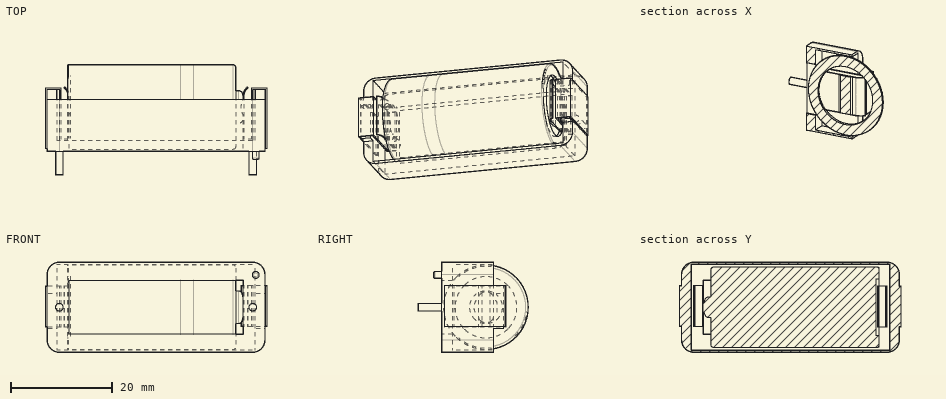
import cadquery as cq
import math


frame_length = 42.85
frame_height = 17.75
frame_depth = 10.2
frame_corner_radius = 2.5
window_length = 34.25
window_height = 10.58
floor_thickness = 2.1
end_wall = 1.95
side_wall = 0.5
post_height = 1.95
post_bottom = -4.15
post_top = 2.75

pin_diameter = 1.5
pin_length = 4.6
pin_spacing = 38.0
peg_diameter = 1.35
peg_length = 1.55
peg_fillet = 0.25
peg_x = 19.6
peg_z = 6.35

cell_radius = 8.3
cell_back = 17.0
cell_axis_y = cell_back - cell_radius
cell_left = -17.4
cell_right = 15.65
cell_left_fillet = 0.25
cell_right_fillet = 0.52
band_start = 4.8
band_end = 7.4
recess_radius = 6.05
recess_depth = 0.6
nub_radius = 3.2
nub_length = 1.4
nub_end = cell_right + nub_length
nub_fillet = 0.85

sheet = 0.3
clip_span = 3.1
clip_width = 8.0
clip_front = 0.52
clip_back = frame_depth + post_height + sheet
left_clip_z = 0.15
right_clip_z = 0.25
right_clip_gap = 0.1

blade_x = nub_end
blade_sheet = 0.2
bump_rise = 0.35
bump_half_width = 1.5
flare_start = 10.85
flare_radius = 2.25
flare_angle = math.radians(53)


def make_frame():
    """Rounded box open at the back, with a front window and a post on each end wall."""
    def block(length, height, y_start, y_end):
        solid = cq.Workplane("XY").box(length, y_end - y_start, height, centered=(True, False, True))
        return solid.translate((0, y_start, 0))

    body = block(frame_length, frame_height, 0, frame_depth).edges("|Y").fillet(frame_corner_radius)
    posts = block(frame_length, post_top - post_bottom, floor_thickness, frame_depth + post_height)
    posts = posts.translate((0, 0, (post_top + post_bottom) / 2))
    cavity = block(
        frame_length - 2 * end_wall,
        frame_height - 2 * side_wall,
        floor_thickness,
        frame_depth + post_height,
    )
    window = block(window_length, window_height, 0, floor_thickness)
    return body.union(posts).cut(cavity).cut(window)


def front_stud(x, z, diameter, length):
    """Round stud standing out of the front face toward -Y."""
    return cq.Workplane("XZ").center(x, z).circle(diameter / 2).extrude(length)


def make_cell():
    """Cell turned about its own axis, its skin split where the band begins and ends."""
    def corner(x_centre, r_centre, radius, x_direction):
        """Middle point of a rounded corner, given its centre in the profile."""
        bend = radius * math.sqrt(0.5)
        return (x_centre + x_direction * bend, r_centre + bend)

    left_centre = (cell_left + cell_left_fillet, cell_radius - cell_left_fillet)
    right_centre = (cell_right - cell_right_fillet, cell_radius - cell_right_fillet)
    nub_centre = (nub_end - nub_fillet, nub_radius - nub_fillet)
    profile = (
        cq.Workplane("XY", origin=(0, cell_axis_y, 0))
        .moveTo(cell_left + recess_depth, 0)
        .lineTo(cell_left + recess_depth, recess_radius)
        .lineTo(cell_left, recess_radius)
        .lineTo(cell_left, left_centre[1])
        .threePointArc(corner(*left_centre, cell_left_fillet, -1), (left_centre[0], cell_radius))
        .lineTo(band_start, cell_radius)
        .lineTo(band_end, cell_radius)
        .lineTo(right_centre[0], cell_radius)
        .threePointArc(corner(*right_centre, cell_right_fillet, 1), (cell_right, right_centre[1]))
        .lineTo(cell_right, nub_radius)
        .lineTo(nub_centre[0], nub_radius)
        .threePointArc(corner(*nub_centre, nub_fillet, 1), (nub_end, nub_centre[1]))
        .lineTo(nub_end, 0)
        .close()
    )
    return profile.revolve(360, (0, 0), (1, 0), clean=False)


def make_contact(outer_x, z_centre):
    """Sheet clip hooked over the right end wall, with a sprung blade facing the cell."""
    inner_x = outer_x - clip_span
    z_start = z_centre - clip_width / 2
    sketch = cq.Workplane("XY", origin=(0, 0, z_start))

    hook = (
        sketch.moveTo(outer_x, clip_front)
        .lineTo(outer_x, clip_back)
        .lineTo(inner_x, clip_back)
        .lineTo(inner_x, floor_thickness + sheet)
        .lineTo(blade_x, floor_thickness + sheet)
        .lineTo(blade_x, floor_thickness)
        .lineTo(inner_x + sheet, floor_thickness)
        .lineTo(inner_x + sheet, clip_back - sheet)
        .lineTo(outer_x - sheet, clip_back - sheet)
        .lineTo(outer_x - sheet, clip_front)
        .close()
        .extrude(clip_width)
    )

    def flare_point(radius, angle):
        """Point on the flared blade tip, which bends away from the cell."""
        return (
            blade_x + flare_radius - radius * math.cos(angle),
            flare_start + radius * math.sin(angle),
        )

    far_radius = flare_radius - blade_sheet
    blade = (
        sketch.moveTo(blade_x, floor_thickness)
        .lineTo(blade_x, cell_axis_y - bump_half_width)
        .threePointArc((blade_x - bump_rise, cell_axis_y), (blade_x, cell_axis_y + bump_half_width))
        .lineTo(blade_x, flare_start)
        .threePointArc(flare_point(flare_radius, flare_angle / 2), flare_point(flare_radius, flare_angle))
        .lineTo(*flare_point(far_radius, flare_angle))
        .threePointArc(flare_point(far_radius, flare_angle / 2), flare_point(far_radius, 0))
        .lineTo(blade_x + blade_sheet, floor_thickness)
        .close()
        .extrude(clip_width)
    )
    return hook.union(blade)


frame_end = frame_length / 2
right_contact = make_contact(frame_end + sheet + right_clip_gap, right_clip_z)
left_contact = make_contact(frame_end + sheet, left_clip_z).mirror("YZ")
peg = front_stud(peg_x, peg_z, peg_diameter, peg_length).faces("<Y").edges().fillet(peg_fillet)

result = make_frame().union(peg)
for side in (-1, 1):
    result = result.union(front_stud(side * pin_spacing / 2, 0, pin_diameter, pin_length))
for part in (left_contact, right_contact, make_cell()):
    result = result.union(part, clean=False)